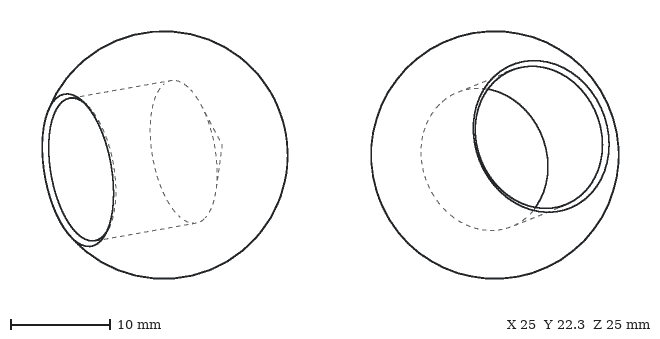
import cadquery as cq
import math

ball_radius = 12.5
rim_distance = 9.78
bore_radius = 7.3
bore_depth = 12.0
drill_point_angle = 118.0

rim_radius = math.sqrt(ball_radius**2 - rim_distance**2)
countersink_depth = rim_radius - bore_radius
drill_point_depth = bore_radius / math.tan(math.radians(drill_point_angle / 2))

rim_y = -rim_distance
countersink_end_y = rim_y + countersink_depth
bore_end_y = rim_y + bore_depth
drill_tip_y = bore_end_y + drill_point_depth

half_section = (
    cq.Workplane("XY")
    .moveTo(0, ball_radius)
    .threePointArc((ball_radius, 0), (rim_radius, rim_y))
    .lineTo(bore_radius, countersink_end_y)
    .lineTo(bore_radius, bore_end_y)
    .lineTo(0, drill_tip_y)
    .close()
)

result = half_section.revolve(360, (0, 0, 0), (0, 1, 0))